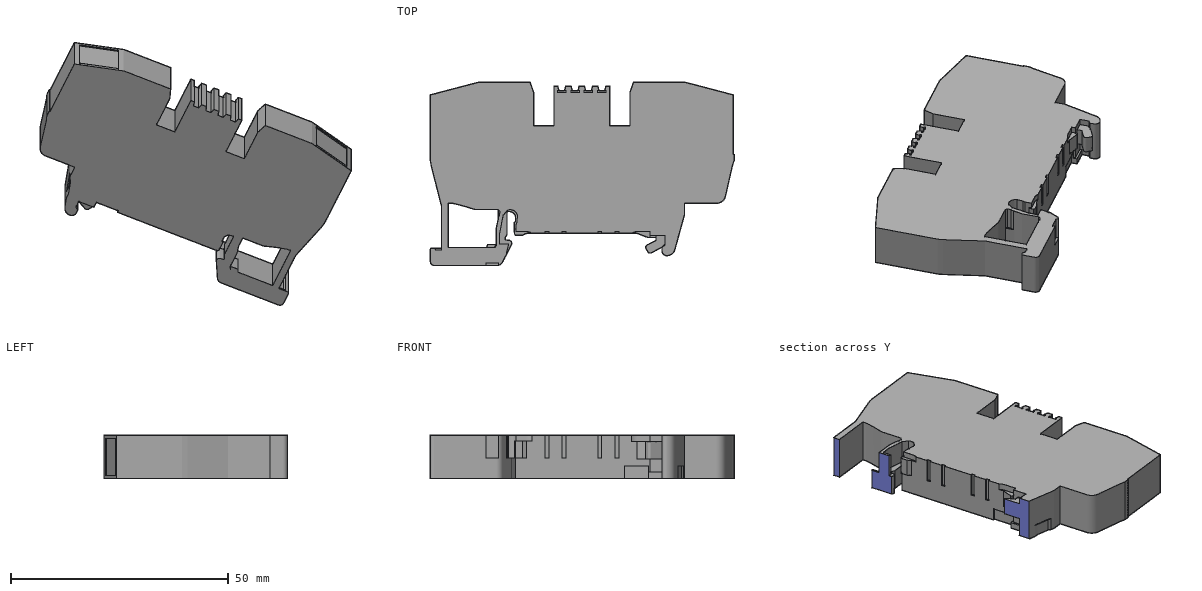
import cadquery as cq
import math

thickness = 10.0
body_width = 69.8
side_bulge = 0.2
height = 42.3
centre_x = body_width / 2

shoulder_y = 39.35
shoulder_inset = 11.2
slot_outer_offset = 11.05
slot_inner_offset = 6.45
slot_floor_y = 32.3
slot_lead_in = 0.85
slot_lead_in_y = 39.9
tower_top_y = 41.4

side_bend_top_y = 24.2
side_bend_y = 22.95
side_bend_inset = 0.2
bulge_top_y = 25.6
shelf_y = 14.35
shelf_corner_radius = 2.1
shelf_corner_x = 67.6
rail_face_y = 7.4
hook_root_x = 50.6
finger_root_x = 54.05
finger_outer_x = 58.6
finger_tip_x = 53.35
hook_root_y = 6.9

gap_right_x = 19.6
gap_corner_x = 19.3
latch_right_x = 17.7
latch_neck_x = 17.3

arm_left_x = 2.6
arm_bend_y = 13.65
foot_top_y = 4.05
foot_left_radius = 1.0
foot_lip_radius = 0.35
foot_right_radius = 1.55
foot_right_x = 16.25

relief_z = 4.7
left_pad_top_z = 8.7
right_pad_bottom_z = 4.5
right_pad_top_z = 8.55
back_recess_top_z = 2.95
stop_block_top_z = 1.5

left_pad_end_x = 22.2
right_pad_start_x = 47.6
stop_left_x = 50.25
pad_root_y = 8.4


def prism(outline, bottom_z, top_z):
    """Extrude a closed XY outline, given as a sketch wire, between two levels."""
    return outline.close().extrude(top_z - bottom_z).translate((0, 0, bottom_z))


def polygon(points, bottom_z, top_z):
    return prism(cq.Workplane("XY").polyline(points), bottom_z, top_z)


def block(x0, x1, y0, y1, bottom_z, top_z):
    return polygon([(x0, y0), (x1, y0), (x1, y1), (x0, y1)], bottom_z, top_z)


def round_corner(solid, x, y, middle_z, radius):
    """Fillet the vertical edge standing at (x, y)."""
    edge = cq.selectors.NearestToPointSelector((x, y, middle_z))
    return solid.edges(edge).fillet(radius)


def mirrored(solid):
    """Copy of a solid reflected about the centre line of the housing."""
    return solid.mirror("YZ", (centre_x, 0, 0))


def housing():
    """Full-thickness outline, running clockwise from the lower left of the foot."""
    slot_left = centre_x - slot_outer_offset
    slot_right = centre_x + slot_outer_offset
    tower_left = centre_x - slot_inner_offset
    tower_right = centre_x + slot_inner_offset
    widest_x = body_width + side_bulge
    outline = (
        cq.Workplane("XY")
        .moveTo(0, 0)
        .lineTo(0, foot_top_y)
        .lineTo(arm_left_x, foot_top_y)
        .lineTo(arm_left_x, arm_bend_y)
        .lineTo(side_bend_inset, side_bend_y)
        .lineTo(0, side_bend_top_y)
        .lineTo(0, shoulder_y)
        .lineTo(shoulder_inset, height)
        .lineTo(slot_left - slot_lead_in, height)
        .lineTo(slot_left, slot_lead_in_y)
        .lineTo(slot_left, slot_floor_y)
        .lineTo(tower_left, slot_floor_y)
        .lineTo(tower_left, tower_top_y)
        .lineTo(tower_right, tower_top_y)
        .lineTo(tower_right, slot_floor_y)
        .lineTo(slot_right, slot_floor_y)
        .lineTo(slot_right, slot_lead_in_y)
        .lineTo(slot_right + slot_lead_in, height)
        .lineTo(body_width - shoulder_inset, height)
        .lineTo(body_width, shoulder_y)
        .lineTo(body_width, bulge_top_y)
        .lineTo(widest_x, bulge_top_y)
        .lineTo(widest_x, side_bend_top_y)
        .lineTo(body_width - side_bend_inset, side_bend_y)
        .lineTo(shelf_corner_x, shelf_y)
        .lineTo(finger_outer_x, shelf_y)
        .lineTo(finger_outer_x, 11.8)
        .lineTo(56.35, 3.7)
        .threePointArc((55.7, 2.7), (54.8, 2.3))
        .threePointArc((53.75, 2.5), (finger_tip_x, 3.5))
        .lineTo(finger_tip_x, 4.3)
        .lineTo(finger_root_x, 4.75)
        .lineTo(finger_root_x, hook_root_y)
        .lineTo(hook_root_x, hook_root_y)
        .lineTo(hook_root_x, rail_face_y)
        .lineTo(gap_right_x, rail_face_y)
        .lineTo(gap_corner_x, 7.7)
        .lineTo(gap_corner_x, 9.95)
        .lineTo(gap_right_x, 10.15)
        .lineTo(gap_right_x, 11.4)
        .threePointArc((18.9, 12.25), (latch_right_x, 12.4))
        .lineTo(latch_right_x, 7.2)
        .lineTo(latch_neck_x, 6.45)
        .lineTo(latch_neck_x, 5.95)
        .lineTo(18.1, 5.9)
        .threePointArc((18.6, 5.6), (18.75, 4.9))
        .lineTo(foot_right_x, 0)
    )
    solid = prism(outline, 0, thickness)
    corners = (
        (0, 0, foot_left_radius),
        (0, foot_top_y, foot_lip_radius),
        (foot_right_x, 0, foot_right_radius),
        (shelf_corner_x, shelf_y, shelf_corner_radius),
    )
    for x, y, radius in corners:
        solid = round_corner(solid, x, y, thickness / 2, radius)
    return solid


def foot_window():
    """Opening between the arm, the foot and the latch."""
    window_floor_y = 4.2
    window_left_x = 4.2
    window_right_x = 15.6
    right_foot_x = 15.2
    right_chamfer_x = 14.85
    window_corner_y = 14.35
    window_top_y = 12.9
    step_y = 4.9
    opening = prism(
        cq.Workplane("XY")
        .moveTo(window_left_x, window_floor_y)
        .lineTo(window_left_x, window_corner_y)
        .lineTo(5.1, window_corner_y)
        .threePointArc((7.6, 13.7), (10.15, 12.95))
        .lineTo(10.7, window_top_y)
        .lineTo(window_right_x, window_top_y)
        .lineTo(window_right_x, 10.65)
        .lineTo(right_foot_x, 8.7)
        .lineTo(right_foot_x, 4.7)
        .lineTo(right_chamfer_x, window_floor_y),
        0, thickness,
    )
    step = polygon(
        [(12.95, window_floor_y), (13.2, step_y), (right_foot_x, step_y), (right_chamfer_x, window_floor_y)],
        0, relief_z,
    )
    corner_relief = polygon(
        [(window_right_x, window_top_y), (16.0, 12.45), (15.95, 11.6), (window_right_x, 10.85)],
        relief_z, thickness,
    )
    return opening.cut(step).union(corner_relief)


def latch_relief():
    """Thins the upper half of the latch and widens the gap behind it."""
    latch_tip_y = 2.95
    hook_top_y = 5.05
    thin_latch_x = 15.95
    wide_gap_x = 19.75
    outline = (
        cq.Workplane("XY")
        .moveTo(thin_latch_x, hook_top_y)
        .lineTo(thin_latch_x, 7.35)
        .lineTo(16.8, 11.6)
        .lineTo(17.85, 12.8)
        .threePointArc((19.25, 12.7), (20.1, 11.5))
        .lineTo(19.95, 9.95)
        .lineTo(wide_gap_x, 9.45)
        .lineTo(wide_gap_x, latch_tip_y)
        .lineTo(17.6, latch_tip_y)
        .lineTo(18.05, hook_top_y)
    )
    return prism(outline, relief_z, thickness)


def foot_reliefs():
    """Shallow pocket under the foot and the notch between foot and arm."""
    pocket = block(12.9, 15.7, 0, 0.6, relief_z, thickness)
    notch_floor_z = 0.5
    notch_floor_y = 3.6
    notch = polygon(
        [(1.0, foot_top_y), (1.25, notch_floor_y), (arm_left_x, notch_floor_y), (arm_left_x, foot_top_y)],
        notch_floor_z, thickness,
    )
    return pocket.union(notch)


def tower_notches():
    """Row of marker notches, each widened at its floor near the top face."""
    notch_count = 4
    notch_pitch = 3.1
    notch_floor_y = 40.3
    mouth_half_width = 0.9
    floor_half_width = 0.6
    undercut_half_width = 1.0
    undercut_depth = 0.4
    undercut_height = 0.7
    cuts = cq.Workplane("XY")
    for index in range(notch_count):
        x = centre_x + (index - (notch_count - 1) / 2) * notch_pitch
        notch = polygon(
            [
                (x - mouth_half_width, tower_top_y),
                (x - floor_half_width, notch_floor_y),
                (x + floor_half_width, notch_floor_y),
                (x + mouth_half_width, tower_top_y),
            ],
            0, thickness,
        )
        undercut = block(
            x - undercut_half_width, x + undercut_half_width,
            notch_floor_y - undercut_depth, notch_floor_y,
            thickness - undercut_height, thickness,
        )
        cuts = cuts.union(notch).union(undercut)
    return cuts


def label_pocket():
    """Shallow label pocket sunk into the left sloping shoulder."""
    slope_rise = height - shoulder_y
    slope_length = math.hypot(shoulder_inset, slope_rise)
    slope_angle = math.degrees(math.atan2(slope_rise, shoulder_inset))
    end_margin = 1.25
    side_margin = 0.8
    depth = 0.3
    return (
        cq.Workplane("XY")
        .box(slope_length - 2 * end_margin, 2 * depth, thickness - 2 * side_margin)
        .rotate((0, 0, 0), (0, 0, 1), slope_angle)
        .translate((shoulder_inset / 2, (shoulder_y + height) / 2, thickness / 2))
    )


def rail_face_grooves():
    """Two pairs of narrow grooves across the upper half of the rail face."""
    groove_left_edges = (26.4, 30.4, 38.6, 42.55)
    groove_width = 0.9
    groove_depth = 0.4
    groove_top_y = rail_face_y + groove_depth
    grooves = cq.Workplane("XY")
    for x in groove_left_edges:
        grooves = grooves.union(block(x, x + groove_width, rail_face_y, groove_top_y, relief_z, thickness))
    return grooves


def pad_recesses():
    """Recesses between the rail pads and the top face, with ramps tangent to the rail face."""
    depth = 0.4
    ramp_run = 1.25
    ramp_radius = (ramp_run**2 + depth**2) / (2 * depth)
    recess_y = rail_face_y + depth
    left = (
        cq.Workplane("XY")
        .moveTo(gap_corner_x, rail_face_y)
        .lineTo(gap_corner_x, recess_y)
        .lineTo(left_pad_end_x, recess_y)
        .radiusArc((left_pad_end_x + ramp_run, rail_face_y), ramp_radius)
    )
    right = (
        cq.Workplane("XY")
        .moveTo(right_pad_start_x - ramp_run, rail_face_y)
        .radiusArc((right_pad_start_x, recess_y), ramp_radius)
        .lineTo(hook_root_x, recess_y)
        .lineTo(hook_root_x, rail_face_y)
    )
    left_recess = prism(left, left_pad_top_z, thickness)
    return left_recess.union(prism(right, right_pad_top_z, thickness))


def back_recesses():
    """Recesses in the rail face and the finger, open to the bottom face."""
    depth = 0.4
    rail_recess = block(44.7, stop_left_x, rail_face_y, rail_face_y + depth, 0, back_recess_top_z)
    finger_recess = polygon([(57.05, 5.6), (57.05, 7.35), (57.9, 10.35), (58.65, 11.35)], 0, back_recess_top_z)
    return rail_recess.union(finger_recess)


def left_pad():
    pad_face_y = 7.0
    return polygon(
        [
            (19.4, pad_root_y),
            (19.4, 7.3),
            (gap_right_x, pad_face_y),
            (21.2, pad_face_y),
            (left_pad_end_x, rail_face_y),
            (left_pad_end_x, pad_root_y),
        ],
        relief_z, left_pad_top_z,
    )


def right_pad():
    """Ramped pad on the rail face and the stop block next to it."""
    pad_face_y = 6.45
    crest_x = 50.2
    ramp = polygon(
        [
            (right_pad_start_x, pad_root_y),
            (right_pad_start_x, rail_face_y),
            (crest_x, pad_face_y),
            (hook_root_x, pad_face_y),
            (hook_root_x, pad_root_y),
        ],
        right_pad_bottom_z, right_pad_top_z,
    )
    stop = block(stop_left_x, finger_root_x, pad_face_y, pad_root_y, 0, stop_block_top_z)
    return ramp.union(stop)


def spring_tongue():
    """Oblique tongue beside the fixed finger."""
    tip_radius = 0.6
    tongue_root_y = 7.35
    upper_tip = (49.35, 4.5)
    lower_tip = (50.4, 2.65)
    tongue = polygon(
        [
            (51.95, tongue_root_y),
            (51.95, 5.8),
            upper_tip,
            lower_tip,
            (53.55, 4.35),
            (finger_root_x, 4.9),
            (finger_root_x, tongue_root_y),
        ],
        right_pad_bottom_z, right_pad_top_z,
    )
    middle_z = (right_pad_bottom_z + right_pad_top_z) / 2
    for x, y in (upper_tip, lower_tip):
        tongue = round_corner(tongue, x, y, middle_z, tip_radius)
    return tongue


pocket = label_pocket()
cutters = [
    foot_window(),
    latch_relief(),
    foot_reliefs(),
    tower_notches(),
    pocket,
    mirrored(pocket),
    rail_face_grooves(),
    pad_recesses(),
    back_recesses(),
]

result = housing()
for cutter in cutters:
    result = result.cut(cutter)
for addition in (left_pad(), right_pad(), spring_tongue()):
    result = result.union(addition)